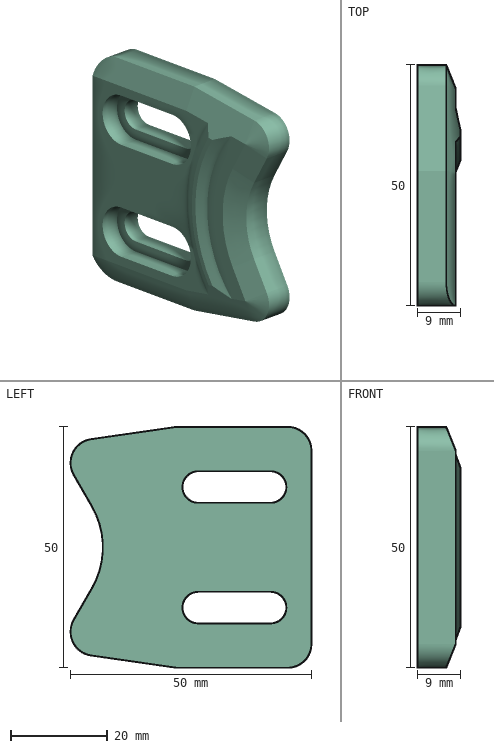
import cadquery as cq
import math

length = 50.0
height = 50.0
half_length = length / 2
half_height = height / 2
plate_thickness = 8.0
rib_top = 9.0
corner_radius = 5.0
shoulder_y = 3.0

horn_radius = 5.0
horn_y = half_length - horn_radius
horn_z = 17.5
flank_angle = math.radians(30)
recess_bottom_y = 18.3

edge_thickness = 6.0
bevel_depth = plate_thickness - edge_thickness
bevel_width = 4.95
bevel_slope = bevel_width / bevel_depth
bevel_angle = math.degrees(math.atan(bevel_slope))

rib_inner_radius = 26.5
rib_outer_radius = 32.5
rib_root = 7.5

slot_width = 6.5
slot_length = 21.5
slot_center_y = -9.0
slot_center_z = 12.5
counterbore_margin = 2.25
counterbore_floor = 3.8

shoulder_dy = horn_y - shoulder_y
shoulder_dz = half_height - horn_z
shoulder_to_horn = math.hypot(shoulder_dy, shoulder_dz)
side_angle = math.atan2(shoulder_dz, shoulder_dy) - math.asin(horn_radius / shoulder_to_horn)

horn_flank_y = horn_y + horn_radius * math.cos(flank_angle)
horn_flank_z = horn_z - horn_radius * math.sin(flank_angle)
flank_at_axis_y = horn_flank_y - horn_flank_z * math.tan(flank_angle)
recess_radius = (recess_bottom_y - flank_at_axis_y) / (1 / math.cos(flank_angle) - 1)
recess_center_y = recess_bottom_y + recess_radius
recess_flank_y = recess_center_y - recess_radius * math.cos(flank_angle)
recess_flank_z = recess_radius * math.sin(flank_angle)


def outline(x, end_y):
    """Plate outline at height x, with a square end at end_y."""
    horn_side_y = horn_y + horn_radius * math.sin(side_angle)
    horn_side_z = horn_z + horn_radius * math.cos(side_angle)
    horn_tip_y = horn_y + horn_radius
    return (
        cq.Workplane("YZ", origin=(x, 0, 0))
        .moveTo(end_y, -half_height)
        .lineTo(shoulder_y, -half_height)
        .lineTo(horn_side_y, -horn_side_z)
        .threePointArc((horn_tip_y, -horn_z), (horn_flank_y, -horn_flank_z))
        .lineTo(recess_flank_y, -recess_flank_z)
        .threePointArc((recess_bottom_y, 0), (recess_flank_y, recess_flank_z))
        .lineTo(horn_flank_y, horn_flank_z)
        .threePointArc((horn_tip_y, horn_z), (horn_side_y, horn_side_z))
        .lineTo(shoulder_y, half_height)
        .lineTo(end_y, half_height)
        .close()
    )


def make_plate():
    """Plate bevelled everywhere except along its square end."""
    base = outline(0, -half_length).extrude(edge_thickness)
    overrun_y = -half_length - 2 * bevel_width
    bevelled = outline(edge_thickness, overrun_y).extrude(bevel_depth, taper=bevel_angle)
    trim = cq.Workplane("XY").box(rib_top, length, height, centered=(False, True, True))
    plate = base.union(bevelled.intersect(trim))
    rounding = (
        cq.Workplane("YZ")
        .rect(length, height)
        .extrude(rib_top)
        .edges("|X and <Y")
        .fillet(corner_radius)
    )
    return plate.intersect(rounding)


def make_rib():
    """Arched rib with sloped flanks, its ends cut by the side bevels."""
    root_run = (plate_thickness - rib_root) * bevel_slope
    top_run = (rib_top - plate_thickness) * bevel_slope
    ring = (
        cq.Workplane("XY", origin=(0, recess_center_y, 0))
        .moveTo(rib_root, -rib_inner_radius + root_run)
        .lineTo(rib_top, -rib_inner_radius - top_run)
        .lineTo(rib_top, -rib_outer_radius + top_run)
        .lineTo(rib_root, -rib_outer_radius - root_run)
        .close()
        .revolve(360, (0, 0, 0), (1, 0, 0))
    )
    far_y = length
    far_z = half_height - (far_y - shoulder_y) * math.tan(side_angle)
    side_bevels = (
        cq.Workplane("YZ", origin=(edge_thickness, 0, 0))
        .polyline([
            (-half_length, -half_height),
            (shoulder_y, -half_height),
            (far_y, -far_z),
            (far_y, far_z),
            (shoulder_y, half_height),
            (-half_length, half_height),
        ])
        .close()
        .extrude(rib_top - edge_thickness, taper=bevel_angle)
    )
    recess_side = cq.Workplane("XY").box(rib_top, length, height, centered=(False, True, True))
    return ring.intersect(side_bevels).intersect(recess_side)


def slot_cutter(x, margin):
    """Pair of slots grown by margin all round, cut from x to the front."""
    return (
        cq.Workplane("YZ", origin=(x, 0, 0))
        .pushPoints([(slot_center_y, -slot_center_z), (slot_center_y, slot_center_z)])
        .slot2D(slot_length + 2 * margin, slot_width + 2 * margin)
        .extrude(rib_top - x)
    )


body = make_plate().union(make_rib())
body = body.cut(slot_cutter(0, 0))
body = body.cut(slot_cutter(counterbore_floor, counterbore_margin))

result = body.translate((-rib_top / 2, 0, 0))